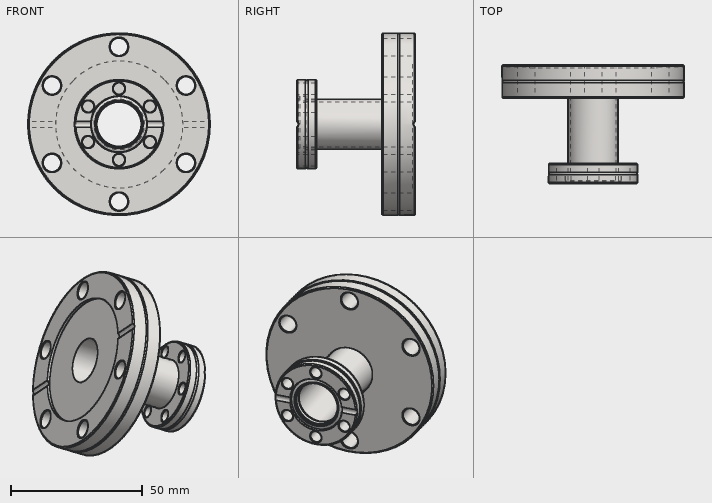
import cadquery as cq


total_length = 45.0

rim_chamfer = 0.5
bolt_count = 6
bolt_spacing = 360 / bolt_count
leak_slot_width = 2.35
leak_slot_depth = 0.6
recess_depth = 1.1

large_diameter = 69.1
large_thickness = 12.65
large_recess_diameter = 48.2
large_bolt_circle = 58.7
large_hole_diameter = 6.7
large_hole_chamfer = 0.3
large_groove_width = 0.8
large_groove_depth = 0.2
large_face = total_length - large_thickness

ring_diameter = 33.8
ring_thickness = 7.6
ring_seat_diameter = 21.4
ring_tube_hole_diameter = 19.2
ring_bolt_circle = 27.0
ring_hole_diameter = 4.4
ring_hole_chamfer = 0.2
ring_groove_width = 1.05
ring_groove_depth = 0.3

insert_diameter = 21.1
insert_bore_diameter = 16.8
insert_back = 3.45
knife_tip_diameter = 18.3
knife_floor_diameter = 17.9
knife_tip_depth = 0.6
knife_floor_depth = 1.2

tube_diameter = 19.1
tube_bore_diameter = 17.2


def cylinder(diameter, start, end):
    """Solid cylinder on the Y axis between two Y positions."""
    circle = cq.Workplane("XZ", origin=(0, start, 0)).circle(diameter / 2)
    return circle.extrude(start - end)


def flange_blank(diameter, start, end):
    """Disc with both rims chamfered."""
    return cylinder(diameter, start, end).edges().chamfer(rim_chamfer)


def bolt_holes(bolt_circle, diameter, chamfer, start, end):
    """Cutters for the bolt circle; each hole is chamfered at both ends."""
    radius = diameter / 2
    wide = radius + chamfer
    profile = [
        (0, start),
        (wide, start),
        (radius, start + chamfer),
        (radius, end - chamfer),
        (wide, end),
        (0, end),
    ]
    hole = cq.Workplane("XY").polyline(profile).close().revolve(360, (0, 0), (0, 1))
    hole = hole.translate((0, 0, bolt_circle / 2))
    cutters = cq.Workplane("XY")
    for index in range(bolt_count):
        cutters = cutters.add(hole.rotate((0, 0, 0), (0, 1, 0), index * bolt_spacing))
    return cutters.combine()


def arc_radius(width, depth):
    """Radius of the arc with a given chord and rise."""
    return ((width / 2) ** 2 + depth**2) / (2 * depth)


def rim_groove(diameter, middle, width, depth):
    """Cutter for a shallow round-bottomed groove around a rim."""
    radius = arc_radius(width, depth)
    centre = diameter / 2 - depth + radius
    section = cq.Workplane("XY").center(centre, middle).circle(radius)
    return section.revolve(360, (-centre, 0), (-centre, 1))


def leak_slots(length, face, inward):
    """Cutter for the round-bottomed slots across a sealing face; inward is +1 or -1 along Y."""
    radius = arc_radius(leak_slot_width, leak_slot_depth)
    centre = face + inward * (leak_slot_depth - radius)
    return cq.Workplane("YZ").center(centre, 0).circle(radius).extrude(length / 2, both=True)


def make_large_flange():
    flange = flange_blank(large_diameter, large_face, total_length)
    flange = flange.cut(cylinder(tube_bore_diameter, large_face, total_length))
    flange = flange.cut(cylinder(large_recess_diameter, total_length - recess_depth, total_length))
    flange = flange.cut(
        bolt_holes(large_bolt_circle, large_hole_diameter, large_hole_chamfer, large_face, total_length)
    )
    middle = large_face + large_thickness / 2
    flange = flange.cut(rim_groove(large_diameter, middle, large_groove_width, large_groove_depth))
    return flange.cut(leak_slots(large_diameter, total_length, -1))


def make_bolt_ring():
    ring = flange_blank(ring_diameter, 0, ring_thickness)
    ring = ring.cut(cylinder(ring_seat_diameter, 0, insert_back))
    ring = ring.cut(cylinder(ring_tube_hole_diameter, insert_back, ring_thickness))
    ring = ring.cut(
        bolt_holes(ring_bolt_circle, ring_hole_diameter, ring_hole_chamfer, 0, ring_thickness)
    )
    ring = ring.cut(rim_groove(ring_diameter, ring_thickness / 2, ring_groove_width, ring_groove_depth))
    return ring.cut(leak_slots(ring_diameter, 0, 1))


def make_insert():
    """Turned insert: a cone rises inward to the knife tip, then drops to a flat floor."""
    profile = [
        (insert_bore_diameter / 2, insert_back),
        (insert_diameter / 2, insert_back),
        (insert_diameter / 2, recess_depth),
        (knife_tip_diameter / 2, knife_tip_depth),
        (knife_floor_diameter / 2, knife_floor_depth),
        (insert_bore_diameter / 2, knife_floor_depth),
    ]
    return cq.Workplane("XY").polyline(profile).close().revolve(360, (0, 0), (0, 1))


def make_tube():
    tube = cylinder(tube_diameter, insert_back, large_face)
    return tube.cut(cylinder(tube_bore_diameter, insert_back, large_face))


large_flange = make_large_flange()
bolt_ring = make_bolt_ring()
insert = make_insert()
tube = make_tube()

result = cq.Compound.makeCompound(
    [large_flange.val(), bolt_ring.val(), insert.val(), tube.val()]
)